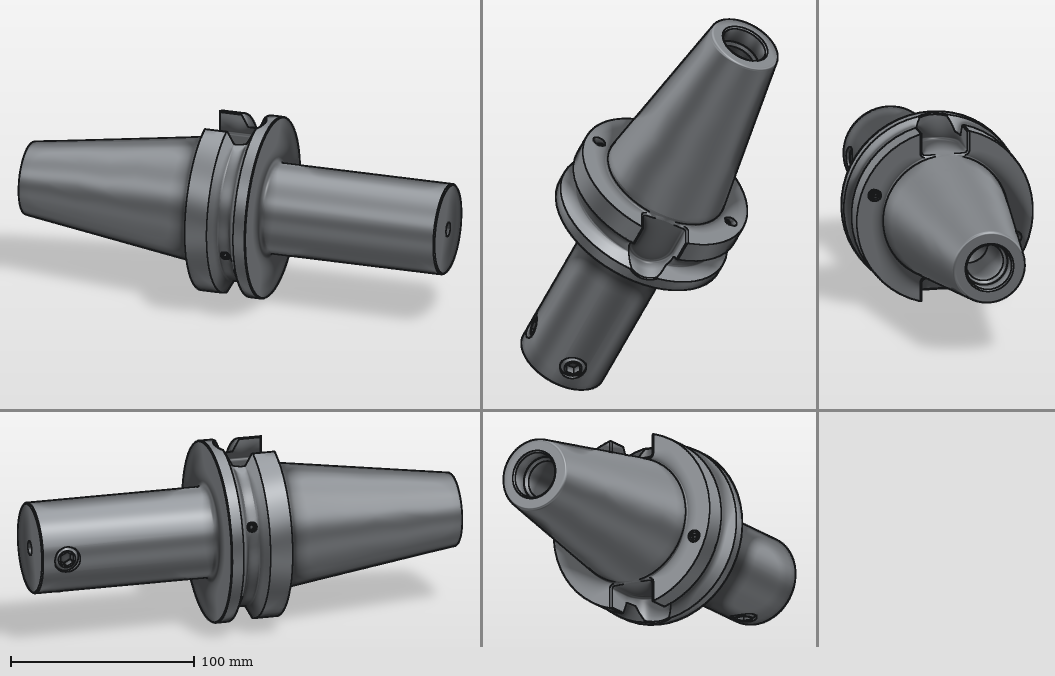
import cadquery as cq
import math

TOTAL_LENGTH = 239.8

GAUGE_DIAMETER = 69.8
TAPER_LENGTH = 101.7
TAPER_RATIO = 7 / 24
TAPER_END_FILLET = 1.7
NECK_FILLET = 1.2

REAR_FACE_X = 104.8
FLANGE_END_X = 139.5
REAR_FLANGE_DIAMETER = 98.8
FRONT_FLANGE_DIAMETER = 100.0
FLANGE_EDGE_CHAMFER = 0.5
GROOVE_DIAMETER = 84.5
GROOVE_START_X = 117.3
GROOVE_END_X = 132.5
GROOVE_FLANK_ANGLE = 60
GROOVE_FILLET = 1.2

SHANK_DIAMETER = 49.9
SHANK_FILLET = 2.9
SHANK_CHAMFER = 0.7

KEYWAY_WIDTH = 25.5
KEYWAY_FLOOR = 35.0
KEYWAY_END_X = 134.8
KEYWAY_FILLET = 2.0
KEYWAY_MOUTH_CHAMFER_DEPTH = 0.7
KEYWAY_MOUTH_CHAMFER_WIDTH = 1.2
KEYWAY_RIM_CHAMFER = 0.7
KEYWAY_WALL_BOTTOM = 36.5
KEYWAY_RIM_BOTTOM = 45.5

THROUGH_DIAMETER = 8.0
MOUTH_DIAMETER = 27.0
COUNTERBORE_DIAMETER = 25.2
COUNTERBORE_DEPTH = 10.0
THREAD_MOUTH_DIAMETER = 24.7
THREAD_DIAMETER = 21.0
THREAD_DEPTH = 48.0
DRILL_POINT_ANGLE = 118

COOLANT_ANGLES = (20, 200)
COOLANT_SCREW_LENGTH = 6.0
INLET_RADIUS = 42.0
INLET_TILT = 25
INLET_DIAMETER = 6.5
INLET_RECESS = 2.2
INLET_SOCKET_WIDTH = 2.2
GROOVE_SCREW_X = 125.0
GROOVE_SCREW_DIAMETER = 5.3
GROOVE_SCREW_RECESS = 0.5
GROOVE_SOCKET_WIDTH = 2.9

SIDE_SCREW_X = 225.5
SIDE_SCREW_DIAMETER = 14.5
SIDE_SCREW_LENGTH = 12.0
SIDE_SOCKET_WIDTH = 7.2
SIDE_SCREW_RECESSES = {0: 1.5, 270: 0.0}

SCREW_CHAMFER_SHARE = 1 / 6

GAUGE_RADIUS = GAUGE_DIAMETER / 2
SMALL_END_RADIUS = (GAUGE_DIAMETER - TAPER_LENGTH * TAPER_RATIO) / 2
REAR_FLANGE_RADIUS = REAR_FLANGE_DIAMETER / 2
FRONT_FLANGE_RADIUS = FRONT_FLANGE_DIAMETER / 2
GROOVE_RADIUS = GROOVE_DIAMETER / 2
SHANK_RADIUS = SHANK_DIAMETER / 2
FLANK_SLOPE = math.tan(math.radians(GROOVE_FLANK_ANGLE))
AXIS = ((0, 0, 0), (1, 0, 0))
SLACK = 0.12


def circles_at(x, radius):
    """Selector for the circular edge of the turned body at position x with this radius."""
    reach = radius + SLACK
    low = (x - SLACK, -reach, -reach)
    high = (x + SLACK, reach, reach)
    return cq.selectors.BoxSelector(low, high, boundingbox=True)


def turned_body():
    """Taper, flange with its gripper groove, and shank, turned in one piece."""
    groove_floor_start = GROOVE_START_X + (REAR_FLANGE_RADIUS - GROOVE_RADIUS) / FLANK_SLOPE
    groove_floor_end = GROOVE_END_X - (FRONT_FLANGE_RADIUS - GROOVE_RADIUS) / FLANK_SLOPE
    outline = [
        (0, 0),
        (0, SMALL_END_RADIUS),
        (TAPER_LENGTH, GAUGE_RADIUS),
        (REAR_FACE_X, GAUGE_RADIUS),
        (REAR_FACE_X, REAR_FLANGE_RADIUS),
        (GROOVE_START_X, REAR_FLANGE_RADIUS),
        (groove_floor_start, GROOVE_RADIUS),
        (groove_floor_end, GROOVE_RADIUS),
        (GROOVE_END_X, FRONT_FLANGE_RADIUS),
        (FLANGE_END_X, FRONT_FLANGE_RADIUS),
        (FLANGE_END_X, SHANK_RADIUS),
        (TOTAL_LENGTH, SHANK_RADIUS),
        (TOTAL_LENGTH, 0),
    ]
    body = cq.Workplane("XZ").polyline(outline).close().revolve(360, *AXIS)

    def edge(x, radius):
        return body.edges(circles_at(x, radius))

    body = edge(0, SMALL_END_RADIUS).fillet(TAPER_END_FILLET)
    body = edge(REAR_FACE_X, GAUGE_RADIUS).fillet(NECK_FILLET)
    body = edge(groove_floor_start, GROOVE_RADIUS).fillet(GROOVE_FILLET)
    body = edge(groove_floor_end, GROOVE_RADIUS).fillet(GROOVE_FILLET)
    body = edge(FLANGE_END_X, SHANK_RADIUS).fillet(SHANK_FILLET)
    body = edge(FLANGE_END_X, FRONT_FLANGE_RADIUS).chamfer(FLANGE_EDGE_CHAMFER)
    body = edge(TOTAL_LENGTH, SHANK_RADIUS).chamfer(SHANK_CHAMFER)
    return body


def bore():
    """Stepped bore: mouth chamfer, counterbore, thread core with a drill point, through hole."""
    mouth_chamfer = (MOUTH_DIAMETER - COUNTERBORE_DIAMETER) / 2
    thread_chamfer = (THREAD_MOUTH_DIAMETER - THREAD_DIAMETER) / 2
    point_length = (THREAD_DIAMETER - THROUGH_DIAMETER) / 2 / math.tan(math.radians(DRILL_POINT_ANGLE / 2))
    outline = [
        (0, 0),
        (0, MOUTH_DIAMETER / 2),
        (mouth_chamfer, COUNTERBORE_DIAMETER / 2),
        (COUNTERBORE_DEPTH, COUNTERBORE_DIAMETER / 2),
        (COUNTERBORE_DEPTH, THREAD_MOUTH_DIAMETER / 2),
        (COUNTERBORE_DEPTH + thread_chamfer, THREAD_DIAMETER / 2),
        (THREAD_DEPTH, THREAD_DIAMETER / 2),
        (THREAD_DEPTH + point_length, THROUGH_DIAMETER / 2),
        (TOTAL_LENGTH, THROUGH_DIAMETER / 2),
        (TOTAL_LENGTH, 0),
    ]
    return cq.Workplane("XZ").polyline(outline).close().revolve(360, *AXIS)


def keyway():
    """Cutter for the top drive keyway: open at the rear face, round at its front end."""
    half_width = KEYWAY_WIDTH / 2
    arc_center_x = KEYWAY_END_X - half_width
    height = FRONT_FLANGE_RADIUS - KEYWAY_FLOOR + 2.5
    start_x = REAR_FACE_X - 2.5
    return (
        cq.Workplane("XY", origin=(0, 0, KEYWAY_FLOOR))
        .moveTo(start_x, -half_width)
        .lineTo(arc_center_x, -half_width)
        .threePointArc((KEYWAY_END_X, 0), (arc_center_x, half_width))
        .lineTo(start_x, half_width)
        .close()
        .extrude(height)
        .edges("<Z")
        .edges("not <X")
        .fillet(KEYWAY_FILLET)
    )


def keyway_edges(start_x, end_x, bottom):
    """Selector for the edges of the top keyway between two x positions and above `bottom`."""
    side = KEYWAY_WIDTH / 2 + SLACK
    low = (start_x - SLACK, -side, bottom)
    high = (end_x + SLACK, side, FRONT_FLANGE_RADIUS + SLACK)
    return cq.selectors.BoxSelector(low, high, boundingbox=True)


def with_keyways(body):
    """Both drive keyways, on opposite sides, with their outer edges broken."""
    mouth = keyway_edges(REAR_FACE_X, REAR_FACE_X, KEYWAY_WALL_BOTTOM)
    rear_rim = keyway_edges(REAR_FACE_X + 2 * SLACK, GROOVE_START_X, KEYWAY_RIM_BOTTOM)
    front_rim = keyway_edges(GROOVE_END_X - 2.5, FLANGE_END_X, KEYWAY_RIM_BOTTOM)
    for _ in range(2):
        body = body.cut(keyway())
        body = body.edges(mouth).chamfer(KEYWAY_MOUTH_CHAMFER_DEPTH, KEYWAY_MOUTH_CHAMFER_WIDTH)
        body = body.edges(rear_rim).chamfer(KEYWAY_RIM_CHAMFER)
        body = body.edges(front_rim).chamfer(KEYWAY_RIM_CHAMFER)
        body = body.rotate(*AXIS, 180)
    return body


def outward(angle):
    """Unit vector away from the tool axis, at an angle about X measured from +Y toward +Z."""
    return cq.Vector(0, math.cos(math.radians(angle)), math.sin(math.radians(angle)))


def on_surface(x, radius, angle):
    """Point at position x, at a distance from the tool axis in the given direction."""
    return cq.Vector(x, 0, 0) + outward(angle) * radius


def screw(opening, direction, diameter, recess, length, socket_width):
    """A socket set screw lying `recess` below the `opening` point, driven along `direction`."""
    seat = opening + direction * recess
    plane = cq.Plane(origin=seat.toTuple(), normal=direction.toTuple())
    head = cq.selectors.DirectionMinMaxSelector(direction, False)
    across_corners = socket_width / math.cos(math.radians(30))
    socket = cq.Workplane(plane).polygon(6, across_corners).extrude(length / 2)
    body = cq.Workplane(plane).circle(diameter / 2).extrude(length)
    return body.faces(head).chamfer(diameter * SCREW_CHAMFER_SHARE).cut(socket)


def screw_hole(opening, direction, diameter, recess, length):
    """Cutter for a screw hole that starts outside the surface and ends under the screw."""
    lead = diameter
    start = opening - direction * lead
    plane = cq.Plane(origin=start.toTuple(), normal=direction.toTuple())
    return cq.Workplane(plane).circle(diameter / 2).extrude(lead + recess + length)


def inlet_fit(angle):
    """Place and hole size of a coolant inlet screw, tilted from the rear face toward the axis."""
    tilt = math.radians(INLET_TILT)
    direction = cq.Vector(math.cos(tilt), 0, 0) - outward(angle) * math.sin(tilt)
    opening = on_surface(REAR_FACE_X, INLET_RADIUS, angle)
    return opening, direction, INLET_DIAMETER, INLET_RECESS, COOLANT_SCREW_LENGTH


def groove_fit(angle):
    """Place and hole size of a radial coolant screw in the floor of the gripper groove."""
    opening = on_surface(GROOVE_SCREW_X, GROOVE_RADIUS, angle)
    return opening, outward(angle) * -1, GROOVE_SCREW_DIAMETER, GROOVE_SCREW_RECESS, COOLANT_SCREW_LENGTH


def side_fit(angle, recess):
    """Place and hole size of a radial screw in the side of the shank."""
    opening = on_surface(SIDE_SCREW_X, SHANK_RADIUS, angle)
    return opening, outward(angle) * -1, SIDE_SCREW_DIAMETER, recess, SIDE_SCREW_LENGTH


inlet_fits = [inlet_fit(angle) for angle in COOLANT_ANGLES]
groove_fits = [groove_fit(angle) for angle in COOLANT_ANGLES]
side_fits = [side_fit(angle, recess) for angle, recess in SIDE_SCREW_RECESSES.items()]

housing = with_keyways(turned_body().cut(bore()))
for fit in inlet_fits + groove_fits + side_fits:
    housing = housing.cut(screw_hole(*fit))

inlet_screws = [screw(*fit, INLET_SOCKET_WIDTH).val() for fit in inlet_fits]
groove_screws = [screw(*fit, GROOVE_SOCKET_WIDTH).val() for fit in groove_fits]
side_screws = [screw(*fit, SIDE_SOCKET_WIDTH).val() for fit in side_fits]

result = cq.Compound.makeCompound([housing.val(), *inlet_screws, *groove_screws, *side_screws])